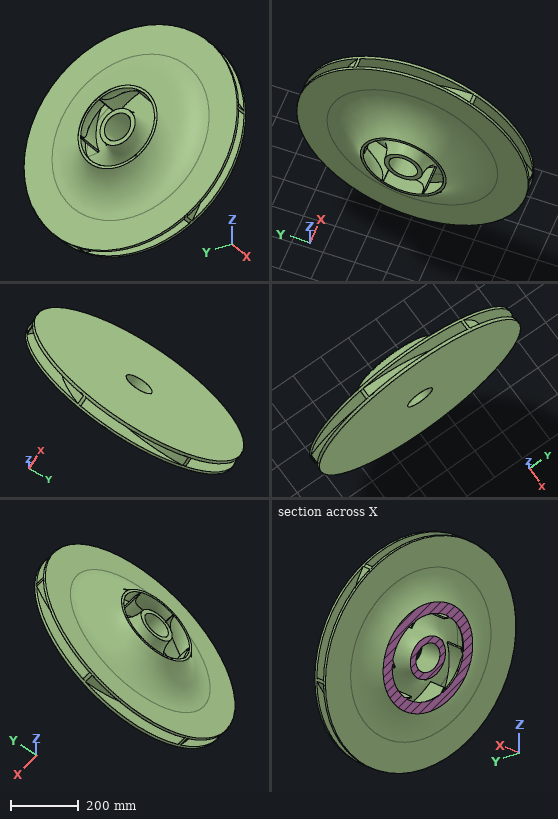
import cadquery as cq
import math


rim_radius = 365.0
overall_length = 125.0
bore_radius = 90.0 / 2

plate_stock_radius = rim_radius + 7.0
blade_stock_radius = rim_radius + 4.0

front_plate_thickness = 9.0
back_plate_thickness = 10.0
front_plate_face = 75.0
front_plate_back = front_plate_face + front_plate_thickness
front_plate_middle = front_plate_face + front_plate_thickness / 2
back_plate_middle = overall_length - back_plate_thickness / 2
back_plate_front = overall_length - back_plate_thickness

eye_radius = 126.0
lip_radius = 135.0
flare_end_radius = 269.0

throat_depth = front_plate_back
throat_flare = 69.0

hub_nose_radius = 60.0
hub_blend_radius = back_plate_front

blade_count = 6
blade_thickness = 5.0
blade_sweep = 120.0
blade_setback = 3.0
spiral_rate = math.log(rim_radius / eye_radius) / math.radians(blade_sweep)
sweep_overrun = 5.0
spiral_steps = 12


def arc_point(center, radius, angle):
    """Point at the given angle (degrees) on a circle."""
    turn = math.radians(angle)
    return (center[0] + radius * math.cos(turn), center[1] + radius * math.sin(turn))


def flare_midpoint():
    """Middle of the arc from the lip that meets the front plate tangentially."""
    rise = flare_end_radius - lip_radius
    radius = (front_plate_face**2 + rise**2) / (2 * front_plate_face)
    start_angle = math.degrees(math.asin(rise / radius))
    return arc_point((front_plate_face - radius, flare_end_radius), radius, -start_angle / 2)


def revolve_about_x(profile):
    """Turn a closed (x, radius) profile into a solid of revolution about the X axis."""
    return profile.close().revolve(360, (0, 0), (1, 0))


def make_shroud():
    profile = (
        cq.Workplane("XY")
        .moveTo(0, eye_radius)
        .ellipseArc(throat_depth, throat_flare, -90, 0)
        .lineTo(front_plate_back, plate_stock_radius)
        .lineTo(front_plate_face, plate_stock_radius)
        .lineTo(front_plate_face, flare_end_radius)
        .threePointArc(flare_midpoint(), (0, lip_radius))
    )
    return revolve_about_x(profile)


def make_hub_and_back_plate():
    blend_center = (0, hub_nose_radius + hub_blend_radius)
    profile = (
        cq.Workplane("XY")
        .moveTo(0, bore_radius)
        .lineTo(0, hub_nose_radius)
        .threePointArc(
            arc_point(blend_center, hub_blend_radius, -45),
            (back_plate_front, blend_center[1]),
        )
        .lineTo(back_plate_front, plate_stock_radius)
        .lineTo(overall_length, plate_stock_radius)
        .lineTo(overall_length, bore_radius)
    )
    return revolve_about_x(profile)


def make_blade_envelope():
    """Space to which the blades are trimmed: the flow passage widened into the walls around it."""
    profile = (
        cq.Workplane("XY")
        .moveTo(blade_setback, hub_nose_radius)
        .lineTo(blade_setback, (eye_radius + lip_radius) / 2)
        .lineTo(front_plate_middle, eye_radius + throat_flare)
        .lineTo(front_plate_middle, blade_stock_radius)
        .lineTo(back_plate_middle, blade_stock_radius)
        .lineTo(back_plate_middle, hub_nose_radius)
    )
    return revolve_about_x(profile)


def blade_side_point(sweep, side_offset):
    """Point on a blade side, offset square to the center spiral, after `sweep` degrees from the tip at -Y."""
    radius = rim_radius * math.exp(-spiral_rate * math.radians(sweep))
    center_point = arc_point((0, 0), radius, 180 - sweep)
    normal_angle = 180 - sweep - math.degrees(math.atan(spiral_rate))
    return arc_point(center_point, side_offset, normal_angle)


def make_blade():
    """Blade between two offset spirals, trimmed flush with the rim and cut square at the eye."""
    start_sweep = -sweep_overrun
    step = (blade_sweep - start_sweep) / spiral_steps
    sweeps = [start_sweep + step * index for index in range(spiral_steps + 1)]
    inner_side = [blade_side_point(sweep, -blade_thickness / 2) for sweep in sweeps]
    outer_side = [blade_side_point(sweep, blade_thickness / 2) for sweep in reversed(sweeps)]
    return (
        cq.Workplane("YZ")
        .moveTo(*inner_side[0])
        .spline(inner_side[1:], includeCurrent=True)
        .lineTo(*outer_side[0])
        .spline(outer_side[1:], includeCurrent=True)
        .close()
        .extrude(overall_length)
        .intersect(make_blade_envelope())
    )


def turn_rim(body):
    """Trim the plates and blade tips flush to the rim radius."""
    keep = cq.Workplane("YZ").workplane(offset=-7.0).circle(rim_radius).extrude(overall_length + 14.5)
    return body.intersect(keep)


result = make_hub_and_back_plate()
blade = make_blade()
for index in range(blade_count):
    result = result.union(blade.rotate((0, 0, 0), (1, 0, 0), index * 360 / blade_count))
result = result.union(make_shroud())
result = turn_rim(result)